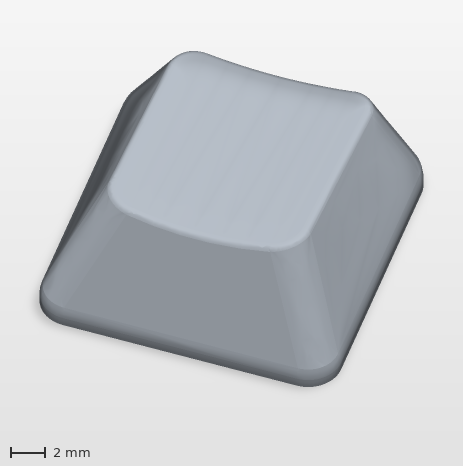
import cadquery as cq
import math

base_size = 18.16
corner_radius = 2.0
skirt_height = 0.6
shoulder_top = 1.3
shoulder_sections = 4

top_tilt = 7.1
top_side_inset = 3.15
top_front_inset = 3.6
top_back_inset = 0.44
top_corner_radius = 1.9
rim_front_height = 7.77
top_round = 0.45

dish_radius = 24.33
dish_depth = 0.8

top_width = base_size - 2 * top_side_inset
top_front_y = -base_size / 2 + top_front_inset
top_run = base_size - top_front_inset - top_back_inset
top_length = top_run / math.cos(math.radians(top_tilt))

rim_drop = top_run * math.tan(math.radians(top_tilt))
rim_back_height = rim_front_height - rim_drop
rim_center = (0, top_front_y + top_run / 2, rim_front_height - rim_drop / 2)
rim_normal = (0, math.sin(math.radians(top_tilt)), math.cos(math.radians(top_tilt)))
rim_plane = cq.Plane(origin=rim_center, xDir=(1, 0, 0), normal=rim_normal)


def rounded_outline(plane, width, length, radius):
    """Rounded rectangle wire centred on a plane."""
    blank = cq.Workplane(plane).rect(width, length).extrude(0.18)
    rounded = blank.edges(cq.selectors.ParallelDirSelector(plane.zDir)).fillet(radius)
    bottom = cq.selectors.DirectionMinMaxSelector(plane.zDir, False)
    return rounded.faces(bottom).val().outerWire()


def shoulder_outline(height):
    """Level outline whose insets grow parabolically from the skirt to the wall slopes."""
    shoulder_rise = shoulder_top - skirt_height
    sharp_height = skirt_height + shoulder_rise / 2
    run = (height - skirt_height) ** 2 / (2 * shoulder_rise)
    side_inset = run * top_side_inset / (rim_center[2] - sharp_height)
    front_inset = run * top_front_inset / (rim_front_height - sharp_height)
    back_inset = run * top_back_inset / (rim_back_height - sharp_height)
    plane = cq.Plane.XY(origin=(0, (front_inset - back_inset) / 2, height))
    width = base_size - 2 * side_inset
    length = base_size - front_inset - back_inset
    return rounded_outline(plane, width, length, corner_radius - side_inset)


def make_body():
    """Vertical skirt, curved shoulder and walls rising to the tilted rim."""
    step = (shoulder_top - skirt_height) / (shoulder_sections - 1)
    outlines = [shoulder_outline(skirt_height + i * step) for i in range(shoulder_sections)]
    rim = rounded_outline(rim_plane, top_width, top_length, top_corner_radius)
    shoulder = cq.Solid.makeLoft(outlines)
    walls = cq.Solid.makeLoft([outlines[-1], rim], True)
    skirt = (
        cq.Workplane("XY")
        .rect(base_size, base_size)
        .extrude(skirt_height)
        .edges("|Z")
        .fillet(corner_radius)
    )
    return skirt.union(cq.Workplane(shoulder)).union(cq.Workplane(walls))


def make_dish():
    """Cylinder whose lowest line lies dish_depth below the rim plane."""
    return (
        cq.Workplane(rim_plane)
        .transformed(rotate=(90, 0, 0))
        .center(0, dish_radius - dish_depth)
        .circle(dish_radius)
        .extrude(base_size, both=True)
    )


dished = make_body().cut(make_dish())
dish_face = dished.faces(cq.selectors.NearestToPointSelector(rim_center))
result = dish_face.edges().fillet(top_round)